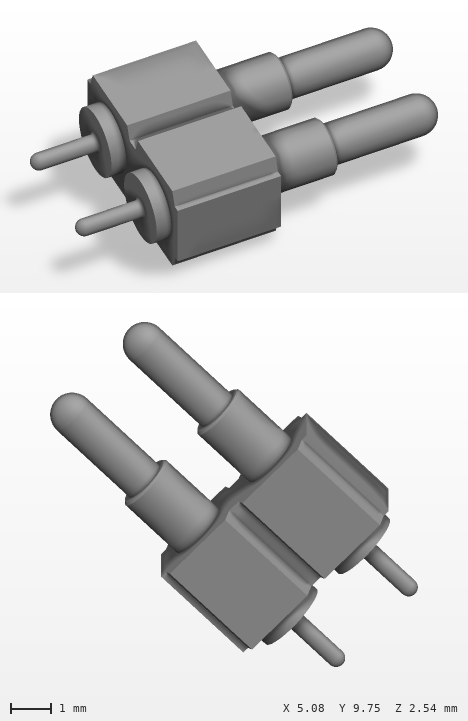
import cadquery as cq
import math


pin_count = 2
housing_width = 5.08
housing_height = 2.54
housing_depth = 2.8
notch_depth = 0.41
notch_floor_half = 0.17
notch_mouth_half = 0.3

flange_diameter = 1.83
flange_thickness = 0.4
barrel_diameter = 1.48
barrel_projection = 1.81
barrel_chamfer = 0.06
plunger_diameter = 1.07
tail_diameter = 0.45
tail_length = 1.75
tail_root_fillet = 0.07
overall_length = 9.75

pitch = housing_width / pin_count
flange_front = -flange_thickness
tail_tip = flange_front - tail_length
plunger_tip = tail_tip + overall_length
barrel_end = housing_depth + barrel_projection
pin_positions = [(i - (pin_count - 1) / 2) * pitch for i in range(pin_count)]
notch_positions = [(i - pin_count / 2) * pitch for i in range(pin_count + 1)]


def make_notch(x, side):
    """Tapered groove along Y at x, in the top (side = 1) or bottom (side = -1)."""
    mouth = side * housing_height / 2
    floor = mouth - side * notch_depth
    return (
        cq.Workplane("XZ")
        .polyline([
            (x - notch_mouth_half, mouth),
            (x - notch_floor_half, floor),
            (x + notch_floor_half, floor),
            (x + notch_mouth_half, mouth),
        ])
        .close()
        .extrude(-housing_depth)
    )


def make_housing():
    """Block with notches between and beside the pins, bored for the barrels."""
    body = cq.Workplane("XZ").rect(housing_width, housing_height).extrude(-housing_depth)
    for x in notch_positions:
        for side in (1, -1):
            body = body.cut(make_notch(x, side))
    bores = (
        cq.Workplane("XZ")
        .pushPoints([(x, 0) for x in pin_positions])
        .circle(barrel_diameter / 2)
        .extrude(-housing_depth)
    )
    return body.cut(bores)


def make_pin(x):
    """Turned pin on the axis at x: round-ended tail, flange, barrel and plunger."""
    tail_r = tail_diameter / 2
    flange_r = flange_diameter / 2
    barrel_r = barrel_diameter / 2
    plunger_r = plunger_diameter / 2
    root_r = tail_r + tail_root_fillet
    diagonal = math.sqrt(0.5)
    tail_center = tail_tip + tail_r
    fillet_center = flange_front - tail_root_fillet
    plunger_center = plunger_tip - plunger_r
    profile = (
        cq.Workplane("XY")
        .moveTo(0, tail_tip)
        .threePointArc((tail_r * diagonal, tail_center - tail_r * diagonal), (tail_r, tail_center))
        .lineTo(tail_r, fillet_center)
        .threePointArc(
            (root_r - tail_root_fillet * diagonal, fillet_center + tail_root_fillet * diagonal),
            (root_r, flange_front),
        )
        .lineTo(flange_r, flange_front)
        .lineTo(flange_r, 0)
        .lineTo(barrel_r, 0)
        .lineTo(barrel_r, barrel_end - barrel_chamfer)
        .lineTo(barrel_r - barrel_chamfer, barrel_end)
        .lineTo(plunger_r, barrel_end)
        .lineTo(plunger_r, plunger_center)
        .threePointArc(
            (plunger_r * diagonal, plunger_center + plunger_r * diagonal),
            (0, plunger_tip),
        )
        .close()
    )
    return profile.revolve(360, (0, 0, 0), (0, 1, 0)).translate((x, 0, 0))


housing = make_housing()
pins = [make_pin(x) for x in pin_positions]

result = cq.Compound.makeCompound([housing.val(), *[pin.val() for pin in pins]])